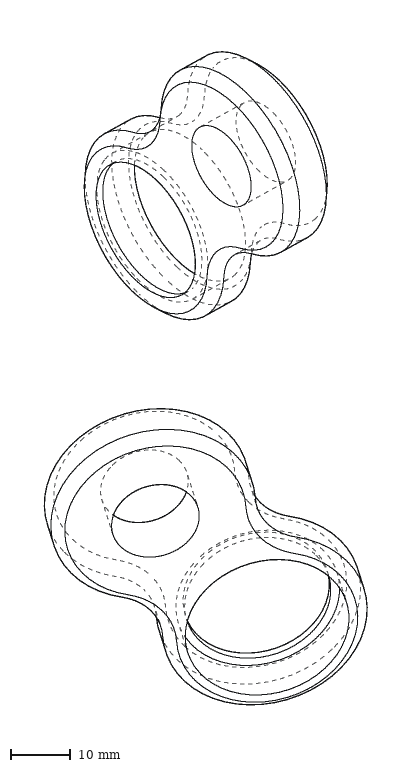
import cadquery as cq
import math

thickness = 10.0
lobe_radius = 17.5
centre_offset_x = 19.1
centre_offset_z = 24.83
waist_radius = 10.0
edge_chamfer = 2.0
small_hole_diameter = 15.0
large_hole_diameter = 25.0
large_bore_diameter = 28.0
lip_thickness = 1.5

large_centre = cq.Vector(0, 0, 0)
small_centre = cq.Vector(centre_offset_x, centre_offset_z, 0)
centre_line = small_centre - large_centre
along = centre_line.normalized()
across = cq.Vector(-along.y, along.x, 0)
midpoint = large_centre + centre_line * 0.5

half_spacing = centre_line.Length / 2
waist_offset = math.sqrt((lobe_radius + waist_radius) ** 2 - half_spacing**2)


def profile_point(vector):
    """X and Z coordinates of a point in the front plane."""
    return (vector.x, vector.y)


def tangent_point(lobe_centre, waist_centre):
    """Point where a lobe meets a waist arc."""
    return lobe_centre + (waist_centre - lobe_centre).normalized() * lobe_radius


def front_plane():
    """XZ plane at the front face (Y = 0), with its normal toward -Y."""
    return cq.Workplane("XZ")


def body():
    """Figure-eight plate with tangent waist arcs and chamfered outer edges."""
    left_waist = midpoint + across * waist_offset
    right_waist = midpoint - across * waist_offset
    outline_arcs = [
        (small_centre + along * lobe_radius, tangent_point(small_centre, left_waist)),
        (left_waist - across * waist_radius, tangent_point(large_centre, left_waist)),
        (large_centre - along * lobe_radius, tangent_point(large_centre, right_waist)),
        (right_waist + across * waist_radius, tangent_point(small_centre, right_waist)),
    ]
    outline = front_plane().moveTo(*profile_point(tangent_point(small_centre, right_waist)))
    for through, end in outline_arcs:
        outline = outline.threePointArc(profile_point(through), profile_point(end))
    return outline.close().extrude(-thickness).faces("<Y or >Y").edges().chamfer(edge_chamfer)


def round_cut(centre, diameter, start_depth):
    """Cylinder running from a depth behind the front face out through the back."""
    return (
        front_plane()
        .workplane(offset=-start_depth)
        .center(*profile_point(centre))
        .circle(diameter / 2)
        .extrude(start_depth - thickness)
    )


small_hole = round_cut(small_centre, small_hole_diameter, 0)
large_hole = round_cut(large_centre, large_hole_diameter, 0)
large_bore = round_cut(large_centre, large_bore_diameter, lip_thickness)

result = body().cut(small_hole).cut(large_hole).cut(large_bore)